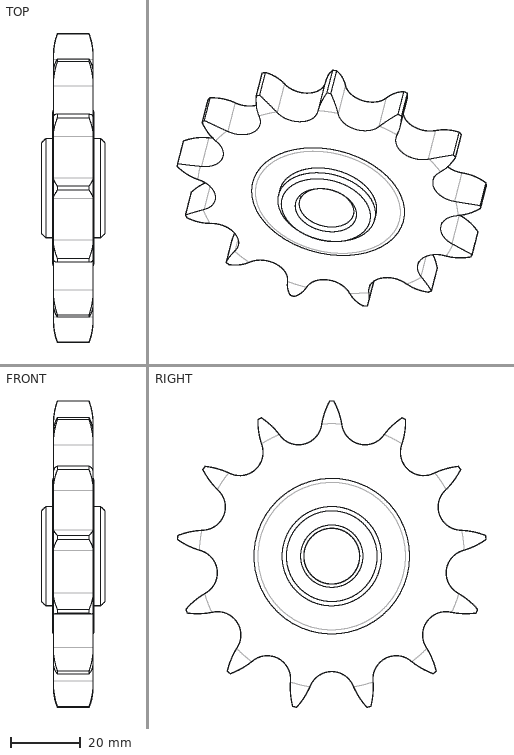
import cadquery as cq
import math


TOOTH_COUNT = 13
PITCH_RADIUS = 39.8
TIP_RADIUS = 44.6
SEAT_RADIUS = 6.65
SEAT_HALF_ANGLE = 67.0
FLANK_RADIUS = 22.2

PLATE_WIDTH = 11.4
RELIEF_START_RADIUS = 38.0
RELIEF_ARC_RADIUS = 19.1
RIM_ALLOWANCE = 0.9

PAD_WIDTH = 12.0
PAD_RADIUS = 22.3
PAD_FLAT_RADIUS = 21.2

HUB_WIDTH = 18.3
HUB_RADIUS = 14.3
HUB_CHAMFER = 1.2
BORE_RADIUS = 8.0
BORE_CHAMFER = 1.0

TOOTH_PITCH_ANGLE = 2 * math.pi / TOOTH_COUNT


def polar(radius, angle):
    """Point (y, z) at a radius and an angle measured from +Z towards +Y."""
    return radius * math.sin(angle), radius * math.cos(angle)


def offset(point, distance, angle):
    """Point moved by a distance along a direction measured from +Z towards +Y."""
    step_y, step_z = polar(distance, angle)
    return point[0] + step_y, point[1] + step_z


def flank_limits():
    """Polar (radius, angle) of the seat end, flank middle and tip corner, from the tooth centreline."""
    half_pitch = TOOTH_PITCH_ANGLE / 2
    seat_centre = polar(PITCH_RADIUS, half_pitch)
    seat_end_direction = half_pitch + math.pi + math.radians(SEAT_HALF_ANGLE)
    seat_end = offset(seat_centre, SEAT_RADIUS, seat_end_direction)
    flank_centre = offset(seat_centre, SEAT_RADIUS + FLANK_RADIUS, seat_end_direction)

    centre_distance = math.hypot(*flank_centre)
    centre_angle = math.atan2(*flank_centre)
    squares = TIP_RADIUS**2 + centre_distance**2 - FLANK_RADIUS**2
    corner_offset = math.acos(squares / (2 * TIP_RADIUS * centre_distance))
    tip_corner = polar(TIP_RADIUS, centre_angle + corner_offset)

    start_direction = math.atan2(seat_end[0] - flank_centre[0], seat_end[1] - flank_centre[1])
    end_direction = math.atan2(tip_corner[0] - flank_centre[0], tip_corner[1] - flank_centre[1])
    flank_middle = offset(flank_centre, FLANK_RADIUS, (start_direction + end_direction) / 2)
    return [(math.hypot(*point), math.atan2(*point)) for point in (seat_end, flank_middle, tip_corner)]


def toothed_prism():
    """Sprocket outline extruded over the full plate width."""
    (seat_r, seat_angle), (flank_r, flank_angle), (tip_r, tip_angle) = flank_limits()
    root_radius = PITCH_RADIUS - SEAT_RADIUS
    outline = cq.Workplane("YZ", origin=(-PLATE_WIDTH / 2, 0, 0))
    outline = outline.moveTo(*polar(seat_r, -seat_angle))
    for index in range(TOOTH_COUNT):
        tooth = index * TOOTH_PITCH_ANGLE
        next_tooth = tooth + TOOTH_PITCH_ANGLE
        root = polar(root_radius, tooth + TOOTH_PITCH_ANGLE / 2)
        outline = (
            outline
            .threePointArc(polar(flank_r, tooth - flank_angle), polar(tip_r, tooth - tip_angle))
            .threePointArc(polar(tip_r, tooth), polar(tip_r, tooth + tip_angle))
            .threePointArc(polar(flank_r, tooth + flank_angle), polar(seat_r, tooth + seat_angle))
            .threePointArc(root, polar(seat_r, next_tooth - seat_angle))
        )
    return outline.close().extrude(PLATE_WIDTH)


def revolve_about_x(profile):
    """Full turn about X of a profile drawn with (x, radius) coordinates."""
    return profile.close().revolve(360, (0, 0, 0), (1, 0, 0))


def relieved_disc():
    """Disc whose rim sides curve inwards towards the tooth tips."""
    def relief(radius):
        rise = radius - RELIEF_START_RADIUS
        return PLATE_WIDTH / 2 - RELIEF_ARC_RADIUS + math.sqrt(RELIEF_ARC_RADIUS**2 - rise**2)

    outer_radius = TIP_RADIUS + RIM_ALLOWANCE
    middle_radius = (RELIEF_START_RADIUS + outer_radius) / 2
    return revolve_about_x(
        cq.Workplane("XY")
        .moveTo(-PLATE_WIDTH / 2, 0)
        .lineTo(-PLATE_WIDTH / 2, RELIEF_START_RADIUS)
        .threePointArc((-relief(middle_radius), middle_radius), (-relief(outer_radius), outer_radius))
        .lineTo(relief(outer_radius), outer_radius)
        .threePointArc((relief(middle_radius), middle_radius), (PLATE_WIDTH / 2, RELIEF_START_RADIUS))
        .lineTo(PLATE_WIDTH / 2, 0)
    )


def pad_rim_middle():
    """Middle point (x, radius) of the rim arc that leaves the pad face tangentially."""
    drop = (PAD_WIDTH - PLATE_WIDTH) / 2
    run = PAD_RADIUS - PAD_FLAT_RADIUS
    rim_arc_radius = (run**2 + drop**2) / (2 * drop)
    half_sweep = math.asin(run / rim_arc_radius) / 2
    return (
        PAD_WIDTH / 2 - rim_arc_radius * (1 - math.cos(half_sweep)),
        PAD_FLAT_RADIUS + rim_arc_radius * math.sin(half_sweep),
    )


def raised_pads():
    """Pads on both sides of the plate, their rims rounded down to the plate face."""
    pad_x = PAD_WIDTH / 2
    plate_x = PLATE_WIDTH / 2
    rim_x, rim_radius = pad_rim_middle()
    return revolve_about_x(
        cq.Workplane("XY")
        .moveTo(-pad_x, 0)
        .lineTo(-pad_x, PAD_FLAT_RADIUS)
        .threePointArc((-rim_x, rim_radius), (-plate_x, PAD_RADIUS))
        .lineTo(plate_x, PAD_RADIUS)
        .threePointArc((rim_x, rim_radius), (pad_x, PAD_FLAT_RADIUS))
        .lineTo(pad_x, 0)
    )


def hub():
    """Chamfered hub projecting equally on both sides."""
    cylinder = cq.Workplane("YZ", origin=(-HUB_WIDTH / 2, 0, 0)).circle(HUB_RADIUS).extrude(HUB_WIDTH)
    return cylinder.faces("<X or >X").chamfer(HUB_CHAMFER)


def bore():
    """Through bore with a countersunk mouth at each end."""
    mouth_x = HUB_WIDTH / 2
    return revolve_about_x(
        cq.Workplane("XY")
        .moveTo(-mouth_x, 0)
        .lineTo(-mouth_x, BORE_RADIUS + BORE_CHAMFER)
        .lineTo(-mouth_x + BORE_CHAMFER, BORE_RADIUS)
        .lineTo(mouth_x - BORE_CHAMFER, BORE_RADIUS)
        .lineTo(mouth_x, BORE_RADIUS + BORE_CHAMFER)
        .lineTo(mouth_x, 0)
    )


toothed_plate = toothed_prism().intersect(relieved_disc())
result = toothed_plate.union(raised_pads()).union(hub()).cut(bore())